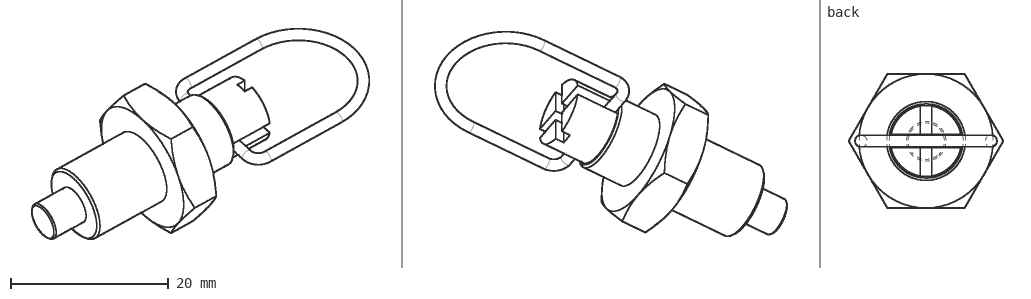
import cadquery as cq
import math


sleeve_diameter = 10.0
sleeve_length = 22.0
sleeve_chamfer = 0.3
head_diameter = 9.0
head_length = 6.0
ring_slot_width = 1.7
notch_width = 1.5
notch_depth = 1.2
head_end = sleeve_length + head_length

pin_diameter = 5.0
pin_projection = 5.0
pin_chamfer = 0.2

nut_across_flats = 17.0
nut_front = 11.0
nut_thickness = 5.0
nut_chamfer_angle = 30.0

wire_diameter = 1.5
ring_outer_width = 18.0
ring_length = 23.0
bend_outer_radius = 2.6


def rod(diameter, start, end):
    """Cylinder along Y from start to end."""
    return cq.Workplane("XZ", origin=(0, start, 0)).circle(diameter / 2).extrude(start - end)


def make_body():
    sleeve = rod(sleeve_diameter, 0, sleeve_length).edges("%CIRCLE").chamfer(sleeve_chamfer)
    body = sleeve.union(rod(head_diameter, sleeve_length, head_end))

    ring_slot = (
        cq.Workplane("XY")
        .box(sleeve_diameter, head_length, ring_slot_width)
        .translate((0, sleeve_length + head_length / 2, 0))
    )
    notch = (
        cq.Workplane("XY")
        .box(notch_width, notch_depth, sleeve_diameter)
        .translate((0, head_end - notch_depth / 2, 0))
    )
    bore = rod(pin_diameter, 0, sleeve_length)
    return body.cut(ring_slot).cut(notch).cut(bore)


def make_pin():
    pin = rod(pin_diameter, -pin_projection, sleeve_length)
    return pin.faces("<Y").edges().chamfer(pin_chamfer)


def make_nut():
    nut_back = nut_front + nut_thickness
    corner_radius = nut_across_flats / math.sqrt(3)
    flat_radius = nut_across_flats / 2
    chamfer_drop = (corner_radius - flat_radius) * math.tan(math.radians(nut_chamfer_angle))

    hexagon = (
        cq.Workplane("XZ", origin=(0, nut_front, 0))
        .polygon(6, 2 * corner_radius)
        .extrude(-nut_thickness)
    )
    blank = (
        cq.Workplane("XY")
        .moveTo(0, nut_front)
        .lineTo(flat_radius, nut_front)
        .lineTo(corner_radius, nut_front + chamfer_drop)
        .lineTo(corner_radius, nut_back - chamfer_drop)
        .lineTo(flat_radius, nut_back)
        .lineTo(0, nut_back)
        .close()
        .revolve(360, (0, 0, 0), (0, 1, 0))
    )
    return hexagon.intersect(blank).cut(rod(sleeve_diameter, nut_front, nut_back))


def make_ring():
    wire_radius = wire_diameter / 2
    side_x = ring_outer_width / 2 - wire_radius
    bar_y = sleeve_length + wire_radius
    bend_radius = bend_outer_radius - wire_radius
    bend_x = side_x - bend_radius
    bend_y = bar_y + bend_radius
    bend_inset = bend_radius * (1 - math.sqrt(0.5))
    bow_y = sleeve_length + ring_length - ring_outer_width / 2

    path = (
        cq.Workplane("XY")
        .moveTo(0, bar_y)
        .lineTo(bend_x, bar_y)
        .threePointArc((side_x - bend_inset, bar_y + bend_inset), (side_x, bend_y))
        .lineTo(side_x, bow_y)
        .threePointArc((0, bow_y + side_x), (-side_x, bow_y))
        .lineTo(-side_x, bend_y)
        .threePointArc((bend_inset - side_x, bar_y + bend_inset), (-bend_x, bar_y))
        .close()
    )
    return cq.Workplane("YZ", origin=(0, bar_y, 0)).circle(wire_radius).sweep(path)


body = make_body()
pin = make_pin()
nut = make_nut()
ring = make_ring()

bodies = [body, pin, nut, ring]
result = cq.Compound.makeCompound([part.solids().val() for part in bodies])